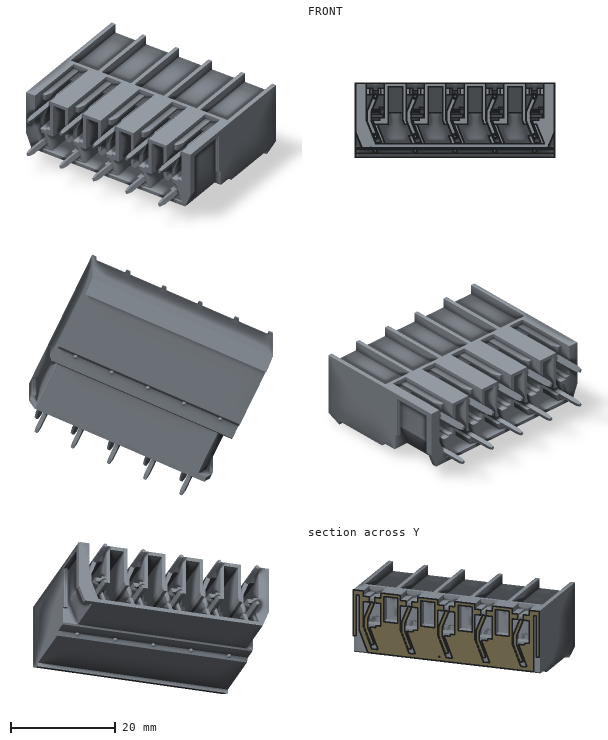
import cadquery as cq
import math


width = 38.1
height = 14.25
depth = 29.05
ways = 5
pitch = width / ways
centres = [pitch * (i + 0.5) for i in range(ways)]
overlap = 0.4

hook_z = 1.3
hook_y = 25.95
belly_z = 0.8
belly_y = 13.85
mid_z = 1.55
mid_y = 13.22
mid_front_y = 10.4
front_z = 1.85
front_block_y = 10.15

channel_depth = 2.0
channel_y = 13.85
rib_width = 0.8
side_rib_width = 0.88

slot_width = 3.45
slot_y = 13.15
slot_floor_z = 7.6
foot_step_z = 7.15
foot_step_x = 0.8
chamber_y = 10.02
ledge_top_z = 13.22
ledge_bottom_z = 12.05
ledge_y = 2.5
guide_width = 1.03
guide_floor_z = 12.8
funnel_width = 2.1
funnel_length = 1.37

cavity_y = 9.65
cavity_floor_z = 2.6
cavity_top_z = 6.35
pocket_top_z = 13.53
pocket_break_z = 8.55
pocket_upper_y = 11.43
right_wall = 0.72
left_wall = 0.65
wall_slant_z = 7.2
lean = 0.4

leg_rib_y = 0.57
leg_rib_top_z = 4.15
leg_groove_z = 2.8
leg_rib_left = -0.6
leg_rib_right = 1.85
passage_width = 1.2
slant_start_x = -slot_width / 2

corner_width = 1.22
corner_top_z = 4.9
recess_front_y = 1.45
recess_rear_y = 9.68
recess_step = 0.23
recess_step_depth = 0.35
recess_rim_depth = 0.7
recess_depth = 1.15
recess_break_z = 6.4
corner_front_y = 1.03

opening_top_z = 9.25
opening_split_z = 8.3
opening_bevel = 0.6
opening_side_bevel = 0.85
opening_lower_bevel = 0.23
opening_lower_depth = 1.9
opening_upper_depth = 1.7
notch_width = 0.95
notch_top_z = 9.55
notch_depth = 0.3

contact_angle = 22.0
contact_thickness = 0.8
pin_width = 1.0
pin_length = 4.95
tip_length = 1.05
tip_scale = 0.65
upper_pin_z = 11.7
lower_pin_z = 4.05
contact_bow = 1.2
strip_y = 1.55

pip_radius = 0.4
pip_y = 13.1
pip_z = 1.3


def box(x0, x1, y0, y1, z0, z1):
    return cq.Workplane("XY").box(x1 - x0, y1 - y0, z1 - z0, centered=False).translate((x0, y0, z0))


def prism_y(points, y0, y1):
    """Extrude an X-Z outline from y0 back to y1."""
    return cq.Workplane("XZ", origin=(0, y0, 0)).polyline(points).close().extrude(y0 - y1)


def prism_z(points, z0, z1):
    """Extrude an X-Y outline from z0 up to z1."""
    return cq.Workplane("XY", origin=(0, 0, z0)).polyline(points).close().extrude(z1 - z0)


def make_housing():
    """Block with a stepped underside and channels between ribs on its top."""
    profile = [
        (0, front_z), (0, height), (depth, height), (depth, hook_z), (hook_y, 0), (hook_y, belly_z),
        (belly_y, belly_z), (mid_y, mid_z), (mid_front_y, mid_z), (front_block_y, front_z),
    ]
    body = cq.Workplane("YZ").polyline(profile).close().extrude(width)
    for i in range(ways):
        left = side_rib_width if i == 0 else pitch * i + rib_width / 2
        right = width - side_rib_width if i == ways - 1 else pitch * (i + 1) - rib_width / 2
        body = body.cut(box(left, right, channel_y, depth + overlap, height - channel_depth, height + overlap))
    return body


def corner_bevel():
    """Bevel along the lower front edge of the left side."""
    return prism_y([(0, corner_top_z), (corner_width, front_z), (0, front_z)], 0, front_block_y)


def recess_cut(slope):
    """Left side recess: a stepped window above, opening into a wider hollow behind its rim.

    The hollow runs inwards below the panel by slope per unit of height.
    """
    window = box(0, recess_step_depth, recess_front_y, recess_rear_y, corner_top_z, ledge_top_z)
    neck_front_y = recess_front_y + recess_step
    neck_rear_y = recess_rear_y - recess_step
    neck = box(0, recess_rim_depth, neck_front_y, neck_rear_y, corner_top_z, ledge_top_z)
    lower_x = recess_depth + slope * (recess_break_z - front_z)
    hollow = prism_y(
        [
            (recess_rim_depth, corner_top_z), (0, corner_top_z), (0, front_z), (lower_x, front_z),
            (recess_depth, recess_break_z), (recess_depth, ledge_top_z), (recess_rim_depth, ledge_top_z),
        ],
        corner_front_y, front_block_y,
    )
    return corner_bevel().union(window).union(neck).union(hollow)


def right_side_cut():
    """Recess and bevelled corner of the right side; the panel runs straight down."""
    return recess_cut(0).mirror("YZ").translate((width, 0, 0))


def slot_cut(x):
    """Slot open at the front and top, with two guide ledges and a stepped floor."""
    half = slot_width / 2
    slot = box(x - half, x + half, 0, ledge_y, slot_floor_z, height)
    slot = slot.union(box(x - half, x + half, 0, slot_y, ledge_top_z, height))
    slot = slot.union(box(x - half, x + half, 0, chamber_y, slot_floor_z, ledge_bottom_z))
    guide = guide_width / 2
    slot = slot.union(box(x - guide, x + guide, 0, slot_y, guide_floor_z, ledge_top_z))
    slot = slot.union(box(x - guide, x + guide, 0, chamber_y, ledge_bottom_z, ledge_top_z))
    mouth = funnel_width / 2
    funnel = prism_z(
        [
            (x - mouth, ledge_y), (x + mouth, ledge_y),
            (x + guide, ledge_y + funnel_length), (x - guide, ledge_y + funnel_length),
        ],
        ledge_bottom_z, ledge_top_z,
    )
    step = box(x - contact_bow, x + foot_step_x, 0, chamber_y, foot_step_z, slot_floor_z)
    return slot.union(funnel).union(step)


def opening_cut(x):
    """Bevelled wire opening in the back wall of a slot."""
    left = x - contact_bow
    right = x + slot_width / 2
    lower_back = chamber_y + opening_lower_depth
    upper_back = chamber_y + opening_upper_depth
    bevel_x = right - opening_side_bevel
    lower = prism_z(
        [(left, chamber_y), (right, chamber_y), (right - opening_lower_bevel, lower_back), (left, lower_back)],
        slot_floor_z, opening_split_z,
    )
    upper = prism_z(
        [(left, chamber_y), (right, chamber_y), (bevel_x, upper_back), (left, upper_back)],
        opening_split_z, opening_top_z,
    )
    bevel_z = opening_top_z - opening_bevel
    top_bevel = (
        cq.Workplane("YZ", origin=(left, 0, 0))
        .polyline([(chamber_y, opening_top_z), (upper_back, opening_top_z), (upper_back, bevel_z)])
        .close()
        .extrude(bevel_x - left)
    )
    notch = box(right - notch_width, right, chamber_y, chamber_y + notch_depth, opening_top_z, notch_top_z)
    return lower.union(upper.cut(top_bevel)).union(notch)


def slant_x(z):
    """Offset from the slot centre of the leaning wall left of a contact."""
    return slant_start_x + lean * (wall_slant_z - z)


def leg_passage(x):
    """Leaning passage and groove for the lower leg of a contact."""
    points = [
        (x + slant_start_x, slot_floor_z), (x + slant_start_x, wall_slant_z),
        (x + slant_x(leg_groove_z), leg_groove_z), (x + slant_x(leg_groove_z) + passage_width, leg_groove_z),
        (x + slant_start_x + passage_width, wall_slant_z), (x + slant_start_x + passage_width, slot_floor_z),
    ]
    return prism_y(points, 0, chamber_y)


def leg_rib(x):
    """Leaning rib on the cavity floor, higher on its right side."""
    rise = cavity_top_z - cavity_floor_z
    left_rise = leg_rib_top_z - cavity_floor_z
    points = [
        (x + leg_rib_left, cavity_floor_z), (x + leg_rib_right, cavity_floor_z),
        (x + leg_rib_right - lean * rise, cavity_top_z),
        (x + slant_x(cavity_top_z) + passage_width, cavity_top_z),
        (x + slant_x(leg_rib_top_z), leg_rib_top_z), (x + leg_rib_left - lean * left_rise, leg_rib_top_z),
    ]
    return prism_y(points, leg_rib_y, cavity_y)


def cavity_cut():
    """Low cavity that runs across all the ways."""
    first, last = centres[0], centres[-1]
    rise = cavity_top_z - cavity_floor_z
    return prism_y(
        [
            (first + slant_x(cavity_floor_z), cavity_floor_z), (last + leg_rib_right, cavity_floor_z),
            (last + leg_rib_right - lean * rise, cavity_top_z), (first + slant_x(cavity_top_z), cavity_top_z),
        ],
        0, cavity_y,
    )


def pocket_cut(x):
    """Pocket between the slot at x and the next one."""
    left = x + slot_width / 2 + right_wall
    right = x + pitch - slot_width / 2 - left_wall
    lower = prism_y(
        [
            (left, cavity_top_z), (right + lean * (wall_slant_z - cavity_top_z), cavity_top_z),
            (right, wall_slant_z), (right, pocket_top_z), (left, pocket_top_z),
        ],
        0, cavity_y,
    )
    return lower.union(box(left, right, cavity_y, pocket_upper_y, pocket_break_z, pocket_top_z))


def make_pin(x, z, angle):
    """Straight pin with a tapered tip, turned about its own axis."""
    shaft = cq.Workplane("XZ", origin=(0, chamber_y, 0)).rect(contact_thickness, pin_width)
    shaft = shaft.extrude(chamber_y + pin_length - tip_length)
    tip = (
        cq.Workplane("XZ", origin=(0, tip_length - pin_length, 0))
        .rect(contact_thickness, pin_width)
        .workplane(offset=tip_length)
        .rect(contact_thickness * tip_scale, pin_width * tip_scale)
        .loft(combine=True)
    )
    return shaft.union(tip).rotate((0, 0, 0), (0, 1, 0), angle).translate((x, 0, z))


def make_contact(x):
    """Bowed plate that joins an upper and a lower pin."""
    slope = math.tan(math.radians(contact_angle))
    bend = contact_bow / slope
    half_x = contact_thickness / 2 / math.cos(math.radians(contact_angle))
    half_mid = contact_thickness / 2
    mid_x = x - contact_bow
    upper_bend_z = upper_pin_z - bend
    lower_bend_z = lower_pin_z + bend
    shift = half_mid * math.tan(math.radians(contact_angle / 2))
    plate = prism_y(
        [
            (x - half_x, upper_pin_z), (mid_x - half_mid, upper_bend_z + shift),
            (mid_x - half_mid, lower_bend_z - shift), (x - half_x, lower_pin_z),
            (x + half_x, lower_pin_z), (mid_x + half_mid, lower_bend_z + shift),
            (mid_x + half_mid, upper_bend_z - shift), (x + half_x, upper_pin_z),
        ],
        strip_y, chamber_y,
    )
    plate = plate.union(make_pin(x, upper_pin_z, contact_angle))
    return plate.union(make_pin(x, lower_pin_z, -contact_angle))


housing = make_housing().cut(cavity_cut())
for x in centres[:-1]:
    housing = housing.cut(pocket_cut(x))
for x in centres:
    housing = housing.union(leg_rib(x))
    housing = housing.cut(slot_cut(x)).cut(opening_cut(x)).cut(leg_passage(x))
housing = housing.cut(recess_cut(lean)).cut(right_side_cut())

result = housing
for x in centres:
    result = result.union(make_contact(x))
    result = result.union(cq.Workplane("XY").sphere(pip_radius).translate((x, pip_y, pip_z)))